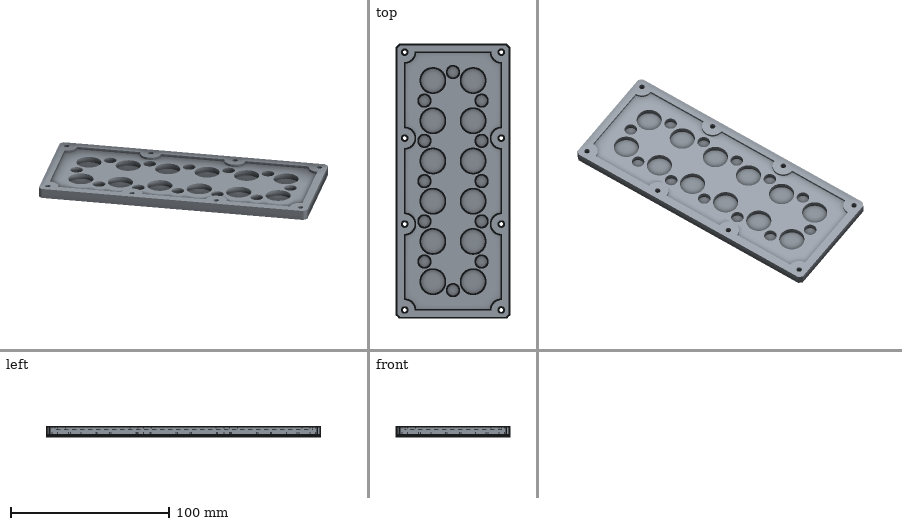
import cadquery as cq

LENGTH = 173.0
WIDTH = 71.5
HEIGHT = 6.2
CORNER_CHAMFER = 2.0

SHEET_THICKNESS = 1.0

RECESS_DEPTH = 1.5
SCREW_INSET = 5.2
RECESS_WIDTH = WIDTH - 2 * SCREW_INSET
SCREW_ROWS = 4
SCREW_COLUMNS = 2
RECESS_TOP_INSET = 5.0
RECESS_LENGTH = LENGTH - 2 * RECESS_TOP_INSET
SCREW_PITCH = RECESS_LENGTH / (SCREW_ROWS - 1)
SCREW_HOLE_DIAMETER = 3.5
SCREW_BOSS_DIAMETER = 13.5

LARGE_DIAMETER = 16.0
LARGE_PITCH = 25.5
LARGE_ROWS = 6
LARGE_COLUMNS = 2
SMALL_DIAMETER = 8.0
SMALL_OFFSET = 5.4

LARGE_HALF_SPAN_X = (LARGE_COLUMNS - 1) * LARGE_PITCH / 2
LARGE_HALF_SPAN_Y = (LARGE_ROWS - 1) * LARGE_PITCH / 2


def outer_slab(bottom, thickness):
    """Rectangular slab with chamfered vertical corners."""
    return (
        cq.Workplane("XY", origin=(0, 0, bottom))
        .rect(WIDTH, LENGTH)
        .extrude(thickness)
        .edges("|Z")
        .chamfer(CORNER_CHAMFER)
    )


def screw_cylinders(diameter, bottom, height):
    """Cylinders at every screw position."""
    return (
        cq.Workplane("XY", origin=(0, 0, bottom))
        .rarray(RECESS_WIDTH, SCREW_PITCH, SCREW_COLUMNS, SCREW_ROWS)
        .circle(diameter / 2)
        .extrude(height)
    )


def recess_cutter():
    """Rectangular recess volume, leaving a round boss at each screw."""
    floor = HEIGHT - RECESS_DEPTH
    recess = (
        cq.Workplane("XY", origin=(0, 0, floor))
        .rect(RECESS_WIDTH, RECESS_LENGTH)
        .extrude(RECESS_DEPTH)
    )
    return recess.cut(screw_cylinders(SCREW_BOSS_DIAMETER, floor, RECESS_DEPTH))


def large_openings():
    """Grid of large round openings."""
    return (
        cq.Workplane("XY")
        .rarray(LARGE_PITCH, LARGE_PITCH, LARGE_COLUMNS, LARGE_ROWS)
        .circle(LARGE_DIAMETER / 2)
        .extrude(HEIGHT)
    )


def small_openings():
    """Small openings between the rows at each side, and one at each end."""
    side_x = LARGE_HALF_SPAN_X + SMALL_OFFSET
    end_y = LARGE_HALF_SPAN_Y + SMALL_OFFSET
    centres = [(0, -end_y), (0, end_y)]
    for gap in range(LARGE_ROWS - 1):
        y = (gap + 0.5) * LARGE_PITCH - LARGE_HALF_SPAN_Y
        centres += [(-side_x, y), (side_x, y)]
    return cq.Workplane("XY").pushPoints(centres).circle(SMALL_DIAMETER / 2).extrude(HEIGHT)


def make_plate():
    """Plate with the recess, openings and screw holes."""
    return (
        outer_slab(SHEET_THICKNESS, HEIGHT - SHEET_THICKNESS)
        .cut(recess_cutter())
        .cut(large_openings())
        .cut(small_openings())
        .cut(screw_cylinders(SCREW_HOLE_DIAMETER, 0, HEIGHT))
    )


def make_sheet():
    """Plain backing sheet pierced only by the screw holes."""
    return outer_slab(0, SHEET_THICKNESS).cut(
        screw_cylinders(SCREW_HOLE_DIAMETER, 0, SHEET_THICKNESS)
    )


plate = make_plate()
sheet = make_sheet()
result = cq.Compound.makeCompound([plate.val(), sheet.val()])